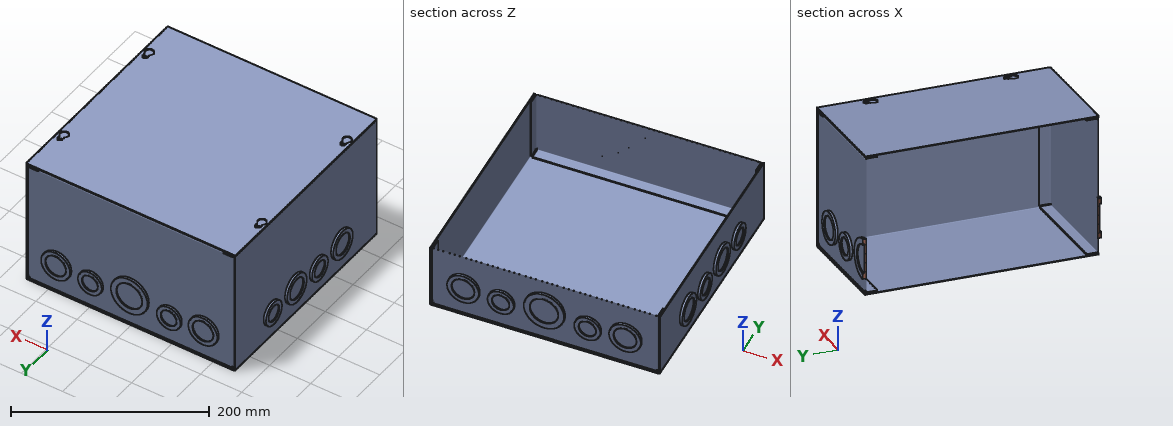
import cadquery as cq
import math

overall_width = 260.0
box_height = 154.0
pad_height = 2.9
sheet = 1.43
bend_radius = 2.0
flange_width = 13.3
clearance = 0.5

box_width = overall_width - 2 * pad_height
half_width = box_width / 2
half_height = box_height / 2
inner_bend_radius = bend_radius - sheet
wrap_height = box_height - sheet
wrap_top = half_height - sheet
box_floor = -half_height
flange_gap = 1.5

screw_edge_distance = 7.0
screw_x = half_width - screw_edge_distance
screw_y = 76.5
screw_hole_diameter = 4.0
keyhole_slot_width = 5.7
keyhole_bore_diameter = 10.0
keyhole_travel = 7.5
screw_places = [(sx * screw_x, sy * screw_y) for sx in (-1, 1) for sy in (-1, 1)]

small_knockout = (28.9, 19.2)
medium_knockout = (35.0, 25.2)
large_knockout = (44.5, 31.5)
recess_depth = 1.3

end_knockouts = [
    (large_knockout, 0.0, 40.3),
    (small_knockout, 47.8, 34.0),
    (small_knockout, -47.8, 34.0),
    (medium_knockout, 89.5, 37.0),
    (medium_knockout, -89.5, 37.0),
]

side_pitch = 41.3
side_knockouts = [
    (medium_knockout, -1.5 * side_pitch, 35.0),
    (small_knockout, -0.5 * side_pitch, 32.0),
    (medium_knockout, 0.5 * side_pitch, 35.0),
    (small_knockout, 1.5 * side_pitch, 32.0),
]


def add_knockouts(body, wall, knockouts):
    """Raise recessed round pads on a wall; `wall` is its outer plane, with local y up."""
    for (outer_diameter, recess_diameter), across, height in knockouts:
        place = (across, box_floor + height)
        pad = cq.Workplane(wall).center(*place).circle(outer_diameter / 2).extrude(pad_height)
        recess = cq.Workplane(wall).workplane(offset=pad_height).center(*place)
        recess = recess.circle(recess_diameter / 2).extrude(-recess_depth)
        body = body.union(pad).cut(recess)
    return body


def make_cover():
    """Flat cover plate with four keyholes."""
    cover = cq.Workplane("XY", origin=(0, 0, wrap_top)).rect(box_width, box_width).extrude(sheet)
    for x, y in screw_places:
        screw_end = cq.Workplane("XY", origin=(x, y, wrap_top))
        slot_middle = cq.Workplane("XY", origin=(x, y - keyhole_travel / 2, wrap_top))
        bore_centre = cq.Workplane("XY", origin=(x, y - keyhole_travel, wrap_top))
        cover = cover.cut(screw_end.circle(keyhole_slot_width / 2).extrude(sheet))
        cover = cover.cut(slot_middle.rect(keyhole_slot_width, keyhole_travel).extrude(sheet))
        cover = cover.cut(bore_centre.circle(keyhole_bore_diameter / 2).extrude(sheet))
    return cover


def make_wrap():
    """Floor, two side walls and their inward top flanges, folded from one sheet."""
    centre = (0, 0, (wrap_top + box_floor) / 2)
    outside = cq.Workplane("XY", origin=centre).box(box_width, box_width, wrap_height)
    outside = outside.edges("|Y").fillet(bend_radius)
    inside = cq.Workplane("XY", origin=centre)
    inside = inside.box(box_width - 2 * sheet, box_width, wrap_height - 2 * sheet)
    inside = inside.edges("|Y").fillet(inner_bend_radius)
    opening = cq.Workplane("XY", origin=(0, 0, wrap_top))
    opening = opening.rect(box_width - 2 * flange_width, box_width).extrude(-2 * sheet)
    wrap = outside.cut(inside).cut(opening)

    screw_holes = cq.Workplane("XY", origin=(0, 0, wrap_top)).pushPoints(screw_places)
    wrap = wrap.cut(screw_holes.circle(screw_hole_diameter / 2).extrude(-2 * sheet))

    for side in (-1, 1):
        wall = cq.Plane(origin=(side * half_width, 0, 0), xDir=(0, side, 0), normal=(side, 0, 0))
        places = [(size, side * along, height) for size, along, height in side_knockouts]
        wrap = add_knockouts(wrap, wall, places)
    return wrap


def folded_flange(length, edge_middle, outward):
    """Flange folded back (+Y) from the edge of the -Y end plate, with its bend.

    `edge_middle` is the middle of the line where the bend leaves the plate's outer face.
    `outward` is the direction, in the plate, from the plate to the flange.
    """
    along = cq.Vector(*outward).cross(cq.Vector(0, 1, 0))
    profile_plane = cq.Plane(origin=edge_middle, xDir=outward, normal=along.toTuple())
    diagonal = math.sqrt(0.5)
    outer_mid = (bend_radius * diagonal, bend_radius * (1 - diagonal))
    inner_mid = (inner_bend_radius * diagonal, bend_radius - inner_bend_radius * diagonal)
    return (
        cq.Workplane(profile_plane)
        .threePointArc(outer_mid, (bend_radius, bend_radius))
        .lineTo(bend_radius, flange_width)
        .lineTo(inner_bend_radius, flange_width)
        .lineTo(inner_bend_radius, bend_radius)
        .threePointArc(inner_mid, (0, sheet))
        .close()
        .extrude(length / 2, both=True)
    )


def make_front_plate():
    """End plate at -Y, with flanges folded back on all four sides and open corners."""
    face_y = -half_width
    face_half = half_width - sheet - clearance - bend_radius
    face_bottom = box_floor + sheet + clearance + bend_radius
    face_top = wrap_top - clearance - bend_radius
    face_height = face_top - face_bottom
    face_middle = (face_top + face_bottom) / 2
    top_flange_length = box_width - 2 * (flange_width + flange_gap)

    plate = cq.Workplane("XY", origin=(0, face_y + sheet / 2, face_middle))
    plate = plate.box(2 * face_half, sheet, face_height)
    for side in (-1, 1):
        edge_middle = (side * face_half, face_y, face_middle)
        plate = plate.union(folded_flange(face_height, edge_middle, (side, 0, 0)))
    plate = plate.union(folded_flange(2 * face_half, (0, face_y, face_bottom), (0, 0, -1)))
    plate = plate.union(folded_flange(top_flange_length, (0, face_y, face_top), (0, 0, 1)))

    front_wall = cq.Plane(origin=(0, face_y, 0), xDir=(1, 0, 0), normal=(0, -1, 0))
    return add_knockouts(plate, front_wall, end_knockouts)


def make_end_plates():
    """The two end plates, facing opposite ways."""
    front_plate = make_front_plate()
    return [front_plate.rotate((0, 0, 0), (0, 0, 1), turn) for turn in (0, 180)]


cover = make_cover()
wrap = make_wrap()
end_plates = make_end_plates()

result = cq.Compound.makeCompound([
    cover.val(),
    wrap.val(),
    *[plate.val() for plate in end_plates],
])